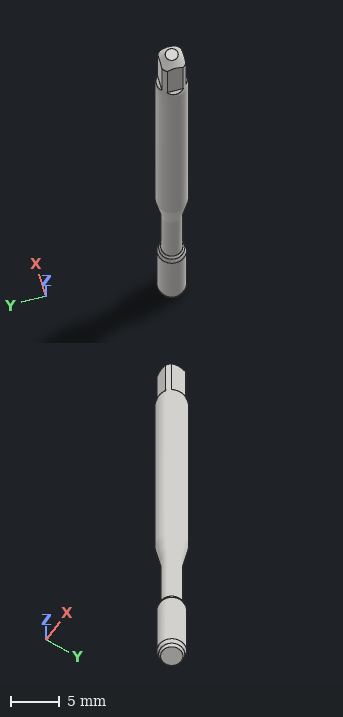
import cadquery as cq

bottom_z = -28.05
top_z = 28.05
neck_bottom_z = -18.05
neck_top_z = -10.1
taper_bottom_z = -9.9
taper_top_z = -6.5
body_top_z = 21.3
collar_top_z = 22.05
flat_bottom_z = 22.0

body_diameter = 3.5
neck_diameter = 2.3
taper_end_diameter = 2.35
drive_diameter = 3.1
tip_diameter = 1.35
core_diameter = 2.7
sleeve_diameter = 3.1

tip_height = 1.0
core_top_slope = 0.35
core_end_slope = 0.4
sleeve_top_slope = 0.55
sleeve_end_slope = 0.55

drive_width = 2.6
ramp_drop = 0.35
ramp_run = 0.45

sleeve_bottom_z = bottom_z + core_end_slope
sleeve_top_z = neck_bottom_z - core_top_slope


def turned(sections):
    """Revolve (diameter, height) sections, listed from the bottom up, about Z."""
    outline = [(diameter / 2, z) for diameter, z in sections]
    points = [(0, sections[0][1]), *outline, (0, sections[-1][1])]
    return cq.Workplane("XZ").polyline(points).close().revolve(360, (0, 0), (0, 1))


def make_flat_cutter():
    """Block that cuts the +X flat of the drive, with a ramp sloping down and outward."""
    inner_x = drive_width / 2
    outer_x = inner_x + ramp_run
    outline = [
        (inner_x, flat_bottom_z),
        (outer_x, flat_bottom_z - ramp_drop),
        (outer_x, top_z),
        (inner_x, top_z),
    ]
    return cq.Workplane("XZ").polyline(outline).close().extrude(body_diameter / 2, both=True)


def make_shank():
    """Core, neck, taper and body in one piece, with a square drive at the top."""
    shank = turned([
        (neck_diameter, bottom_z),
        (core_diameter, sleeve_bottom_z),
        (core_diameter, sleeve_top_z),
        (neck_diameter, neck_bottom_z),
        (neck_diameter, neck_top_z),
        (taper_end_diameter, taper_bottom_z),
        (body_diameter, taper_top_z),
        (body_diameter, body_top_z),
        (drive_diameter, collar_top_z),
        (drive_diameter, top_z - tip_height),
        (tip_diameter, top_z),
    ])
    flat_cutter = make_flat_cutter()
    for angle in (0, 90, 180, 270):
        shank = shank.cut(flat_cutter.rotate((0, 0, 0), (0, 0, 1), angle))
    return shank


def make_sleeve():
    """Thread sleeve around the core, sloped down to the core diameter at both ends."""
    blank = turned([
        (core_diameter, sleeve_bottom_z),
        (sleeve_diameter, sleeve_bottom_z + sleeve_end_slope),
        (sleeve_diameter, sleeve_top_z - sleeve_top_slope),
        (core_diameter, sleeve_top_z),
    ])
    bore = turned([
        (core_diameter, sleeve_bottom_z),
        (core_diameter, sleeve_top_z),
    ])
    return blank.cut(bore)


shank = make_shank()
sleeve = make_sleeve()
result = cq.Compound.makeCompound([shank.val(), sleeve.val()])